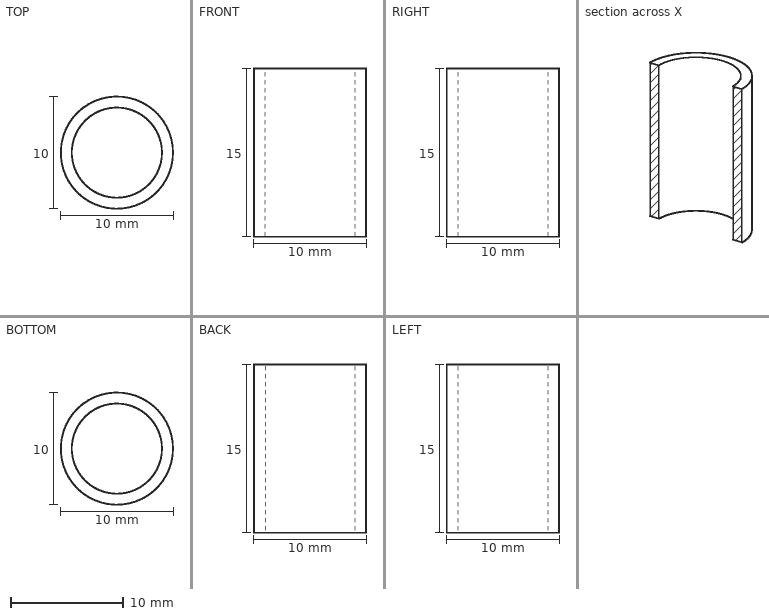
import cadquery as cq

length = 15.0
outer_diameter = length * 2 / 3
wall_thickness = outer_diameter / 10
inner_diameter = outer_diameter - 2 * wall_thickness

result = (
    cq.Workplane("XY")
    .circle(outer_diameter / 2)
    .circle(inner_diameter / 2)
    .extrude(length)
)